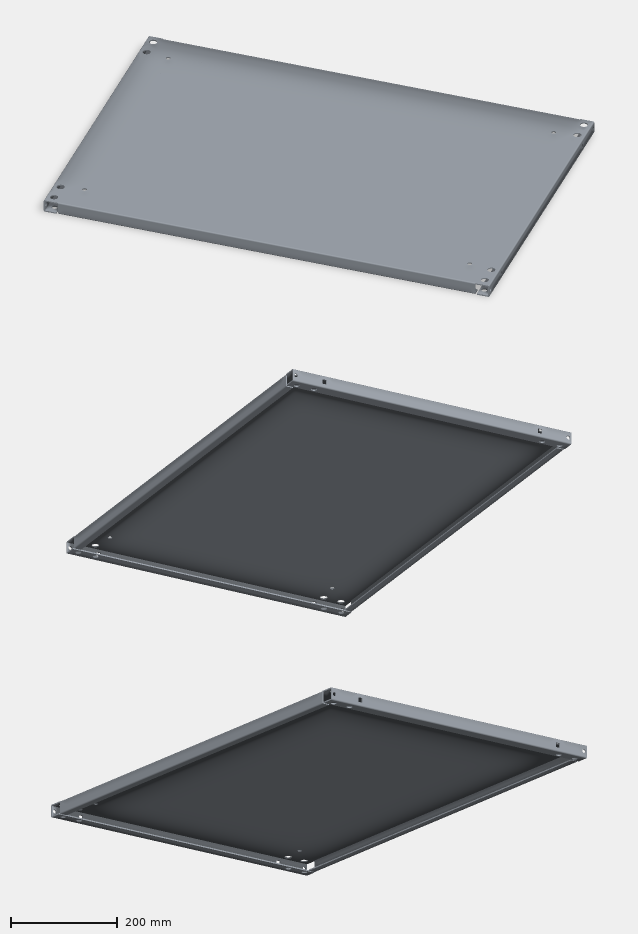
import cadquery as cq

LENGTH = 886.0
WIDTH = 595.02
HEIGHT = 25.0

SHEET = 2.5
INNER_RADIUS = 0.01
OUTER_RADIUS = INNER_RADIUS + SHEET
END_WIDTH = WIDTH - 2 * INNER_RADIUS
CORNER_GAP = 28.5
END_LIP = 25.0
SIDE_LIP = 15.0
FOLDED_LENGTH = LENGTH - 2 * CORNER_GAP

ACCESS_HOLE_DIAMETER = 15.0
ACCESS_HOLE_X = LENGTH / 2 - 15.0
LIP_HOLE_DIAMETER = 11.0
LIP_HOLE_X = LENGTH / 2 - 16.0
LIP_HOLE_ROWS_Y = (281.0, 244.0)

SMALL_HOLE_DIAMETER = 9.0
SMALL_HOLE_OFFSET = 60.0

ROUND_HOLE_DIAMETER = 7.5
ROUND_HOLE_Y = 291.0
SQUARE_HOLE_SIZE = 9.0
SQUARE_HOLE_Y = 230.3


def folded_channel(span, depth, lip):
    """Panel of the given span along X and depth along Y, with a flange and a lip at both X ends."""
    outer = cq.Workplane("XY").box(span, depth, HEIGHT).edges("|Y").fillet(OUTER_RADIUS)
    inside = cq.Workplane("XY").box(span - 2 * SHEET, depth, HEIGHT - 2 * SHEET)
    inside = inside.edges("|Y").fillet(INNER_RADIUS)
    opening = cq.Workplane("XY").box(span - 2 * lip, depth, HEIGHT).translate((0, 0, -SHEET))
    return outer.cut(inside).cut(opening)


def tray():
    """End-folded and side-folded channels sharing one panel, with open gaps at the corners."""
    ends = folded_channel(LENGTH, END_WIDTH, END_LIP)
    sides = folded_channel(WIDTH, FOLDED_LENGTH, SIDE_LIP).rotate((0, 0, 0), (0, 0, 1), 90)
    bend_strip = cq.Workplane("XY").box(FOLDED_LENGTH, WIDTH, HEIGHT)
    bend_strip = bend_strip.cut(cq.Workplane("XY").box(FOLDED_LENGTH, WIDTH - 2 * OUTER_RADIUS, HEIGHT))
    return ends.cut(bend_strip).union(sides)


def corner_points(x, y):
    return [(x, y), (-x, y), (x, -y), (-x, -y)]


def panel_holes(x, y, diameter):
    """Cutters at four mirrored places, reaching up from mid-height through the panel."""
    return cq.Workplane("XY").pushPoints(corner_points(x, y)).circle(diameter / 2).extrude(HEIGHT)


def lip_holes(x, y, diameter):
    """Cutters at four mirrored places, reaching down from mid-height through the lips."""
    return cq.Workplane("XY").pushPoints(corner_points(x, y)).circle(diameter / 2).extrude(-HEIGHT)


def flange_hole_places(y):
    return cq.Workplane("YZ").pushPoints([(y, 0), (-y, 0)])


def flange_holes():
    """Round and square cutters running the whole length through both end flanges."""
    rounds = flange_hole_places(ROUND_HOLE_Y).circle(ROUND_HOLE_DIAMETER / 2)
    squares = flange_hole_places(SQUARE_HOLE_Y).rect(SQUARE_HOLE_SIZE, SQUARE_HOLE_SIZE)
    return rounds.extrude(LENGTH, both=True).add(squares.extrude(LENGTH, both=True)).combine()


result = tray()

for row_y in LIP_HOLE_ROWS_Y:
    result = result.cut(panel_holes(ACCESS_HOLE_X, row_y, ACCESS_HOLE_DIAMETER))
    result = result.cut(lip_holes(LIP_HOLE_X, row_y, LIP_HOLE_DIAMETER))

small_hole_x = LENGTH / 2 - SMALL_HOLE_OFFSET
small_hole_y = WIDTH / 2 - SMALL_HOLE_OFFSET
result = result.cut(panel_holes(small_hole_x, small_hole_y, SMALL_HOLE_DIAMETER))

result = result.cut(flange_holes())